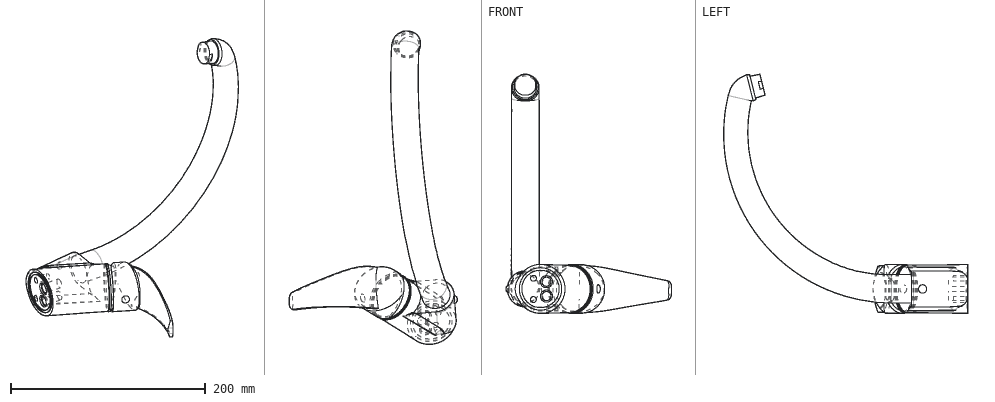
import cadquery as cq
import math


BASE_RADIUS = 25.2
BODY_TOP_RADIUS = 24.6
BODY_TILT = 26.6
BODY_TOP = (29.1, 61.6)
BODY_TOP_LIFT = 1.0

GROOVE_OUTER_RADIUS = 21.8
GROOVE_INNER_RADIUS = 19.2
GROOVE_DEPTH = 1.0
HOSE_X = 6.1
HOSE_Z = 7.4
HOSE_BORE_RADIUS = 4.7
HOSE_BORE_DEPTH = 20.0
HOSE_COUNTERBORE_RADIUS = 6.2
HOSE_COUNTERBORE_DEPTH = 2.0
STUD_X = -7.2
STUD_Z = 10.9
STUD_RADIUS = 3.0
STUD_DEPTH = 15.0

SOCKET_RADIUS = 18.6
SOCKET_TOP_Y = 58.2
SOCKET_RIM_HEIGHT = 2.5
SOCKET_BASE_X = -7.4
SOCKET_TOP_REACH = 36.0
SOCKET_BASE_REACH = 12.0

BLEND_SOCKET_EDGE = (-20.0, 18.65)
BLEND_BODY_EDGE = (-10.0, 22.5)
BLEND_CORE = (-12.0, 17.0)
BLEND_SAG = 0.5
BLEND_TOP_RISE = 12.0
BLEND_FULL_DROP = 57.5
BLEND_RUN_OUT_DROP = 70.0
BLEND_RUN_OUT_SCALE = 0.35
BLEND_LIP_START = (4.0, 58.2)
BLEND_LIP_TILT = 15.0

SCREW_Y = 46.8
SCREW_TIP_X = -35.7
SCREW_DOME_RADIUS = 4.5

SPOUT_X = -15.6
SPOUT_WIDTH_START = 14.6
SPOUT_WIDTH_END = 14.3
SPOUT_DEPTH_START = 14.6
SPOUT_DEPTH_ARC_END = 12.3
SPOUT_DEPTH_END = 14.0
SPOUT_ARC_START_Y = 78.6
SPOUT_ARC_RADIUS = 160.0
SPOUT_ARC_ANGLE = 103.0
ELBOW_RADIUS = 14.3
OUTLET_ANGLE = 166.0
ARC_SECTIONS = 9
ELBOW_SECTIONS = 4
NECK_LENGTH = 3.0
NECK_RADIUS = 13.2
OUTLET_LENGTH = 13.4
OUTLET_ROOT_RADIUS = 11.9
OUTLET_TIP_RADIUS = 11.2
OUTLET_FLAT_LENGTH = 3.5
OUTLET_FLAT_WIDTH = 7.0

RING_RADIUS = 24.9
RING_START = 1.6
RING_HEIGHT = 1.7
NECK_GROOVE_RADIUS = 24.0
COLLAR_BASE_RADIUS = 23.8
COLLAR_TOP_RADIUS = 20.6
COLLAR_HEIGHT = 9.0
HEAD_RADIUS = 25.2
HEAD_HEIGHT = 45.0
HEAD_FRONT_START = 5.6
HEAD_BACK_START = 13.9
DOME_RADIUS = 31.0
DOME_CENTRE = (37.6, 66.6)
HEAD_OUTLINE_MARGIN = 1.0
BUTTON_HEIGHT = 18.0
BUTTON_DOME_RADIUS = 6.0
BUTTON_PROUD = 1.5

HANDLE_SECTIONS = [
    (40.0, 97.5, 86.5, 84.5, 74.0, 23.8),
    (66.0, 96.5, 93.0, 91.3, 81.0, 22.2),
    (82.0, 94.0, 91.3, 89.8, 84.0, 19.2),
    (108.0, 86.5, 85.2, 83.4, 80.2, 14.2),
    (136.0, 75.3, 74.7, 72.3, 70.4, 8.7),
]
HANDLE_YAW = 1.0
HANDLE_TIP = (134.4, 75.2)
HANDLE_TIP_TILT = 36.0
HANDLE_TIP_HALF_WIDTH = 9.8
HANDLE_TIP_ROUND = 8.0
HANDLE_TRIM_LENGTH = 90.0
HANDLE_TRIM_HALF_WIDTH = 31.0


def between(start, end, fraction):
    return start + (end - start) * fraction


def level_plane(x, y):
    """Plane parallel to the mounting face, facing +Y."""
    return cq.Plane(origin=(x, y, 0), xDir=(1, 0, 0), normal=(0, 1, 0))


def slot(y, left_centre_x, reach):
    """Closed slot outline at height y, round on the -X side and square on the other."""
    r = SOCKET_RADIUS
    return (cq.Workplane(level_plane(left_centre_x, y)).moveTo(reach, -r).lineTo(0, -r)
            .threePointArc((-r, 0), (0, r)).lineTo(reach, r).close())


def axis_plane(height):
    """Plane across the tilted body axis; local x points to the lever front, measured from the top ring."""
    tilt = math.radians(BODY_TILT)
    origin = (BODY_TOP[0] + height * math.sin(tilt), BODY_TOP[1] + height * math.cos(tilt), 0)
    return cq.Plane(origin=origin, xDir=(math.cos(tilt), -math.sin(tilt), 0),
                    normal=(math.sin(tilt), math.cos(tilt), 0))


def disc(height, radius, length):
    return cq.Workplane(axis_plane(height)).circle(radius).extrude(length)


def blend_section(height, scale):
    """Hollow-faced filler section across the body axis, scaled about its buried corner."""
    (x1, z1), (x2, z2) = BLEND_SOCKET_EDGE, BLEND_BODY_EDGE
    chord = math.hypot(x2 - x1, z2 - z1)
    middle_x = (x1 + x2) / 2 + BLEND_SAG * (z2 - z1) / chord
    middle_z = (z1 + z2) / 2 - BLEND_SAG * (x2 - x1) / chord
    core_x, core_z = BLEND_CORE
    corner, start, middle, end = [
        (between(core_x, x, scale), -between(core_z, z, scale))
        for x, z in (BLEND_CORE, BLEND_SOCKET_EDGE, (middle_x, middle_z), BLEND_BODY_EDGE)
    ]
    return (cq.Workplane(axis_plane(height)).moveTo(*corner).lineTo(*start)
            .threePointArc(middle, end).close().wires().val())


def make_blend():
    """Filler strips on both sides of the body, trimmed above to a lip that climbs towards the body."""
    top = blend_section(BLEND_TOP_RISE, 1)
    full = blend_section(-BLEND_FULL_DROP, 1)
    buried = blend_section(-BLEND_RUN_OUT_DROP, BLEND_RUN_OUT_SCALE)
    strip = cq.Workplane(cq.Solid.makeLoft([full, top], True))
    run_out = cq.Workplane(cq.Solid.makeLoft([buried, full], True))
    tilt = math.radians(BLEND_LIP_TILT)
    lip_plane = cq.Plane(origin=(*BLEND_LIP_START, 0), xDir=(math.cos(tilt), math.sin(tilt), 0),
                         normal=(-math.sin(tilt), math.cos(tilt), 0))
    cut_size = 4 * BASE_RADIUS
    above_lip = cq.Workplane(lip_plane).rect(cut_size, cut_size).extrude(cut_size)
    filler = strip.cut(above_lip).union(run_out)
    return filler.union(filler.mirror("XY"))


def make_body():
    base = cq.Workplane(level_plane(0, 0)).circle(BASE_RADIUS).wires().val()
    top = cq.Workplane(axis_plane(BODY_TOP_LIFT)).circle(BODY_TOP_RADIUS).wires().val()
    column = cq.Workplane(cq.Solid.makeLoft([base, top], True))
    rim_y = SOCKET_TOP_Y - SOCKET_RIM_HEIGHT
    socket_base = slot(0, SOCKET_BASE_X, SOCKET_BASE_REACH).wires().val()
    socket_top = slot(rim_y, SPOUT_X, SOCKET_TOP_REACH).wires().val()
    socket = cq.Workplane(cq.Solid.makeLoft([socket_base, socket_top], True))
    rim = slot(rim_y, SPOUT_X, SOCKET_TOP_REACH).extrude(SOCKET_RIM_HEIGHT)
    return column.union(socket).union(rim).union(make_blend())


def make_screw():
    centre_x = SCREW_TIP_X + SCREW_DOME_RADIUS
    return cq.Workplane("XY", origin=(centre_x, SCREW_Y, 0)).sphere(SCREW_DOME_RADIUS)


def spout_point(angle):
    """Centre of the spout (y, z) where its heading has turned by angle degrees from +Y."""
    wide = math.radians(min(angle, SPOUT_ARC_ANGLE))
    y = SPOUT_ARC_START_Y + SPOUT_ARC_RADIUS * math.sin(wide)
    z = SPOUT_ARC_RADIUS * (1 - math.cos(wide))
    turn = math.radians(max(angle, SPOUT_ARC_ANGLE))
    start = math.radians(SPOUT_ARC_ANGLE)
    y += ELBOW_RADIUS * (math.sin(turn) - math.sin(start))
    z += ELBOW_RADIUS * (math.cos(start) - math.cos(turn))
    return y, z


def spout_plane(angle):
    y, z = spout_point(angle)
    heading = math.radians(angle)
    return cq.Plane(origin=(SPOUT_X, y, z), xDir=(1, 0, 0),
                    normal=(0, math.cos(heading), math.sin(heading)))


def spout_section(angle):
    arc_part = min(angle / SPOUT_ARC_ANGLE, 1)
    elbow_part = max(0, (angle - SPOUT_ARC_ANGLE) / (OUTLET_ANGLE - SPOUT_ARC_ANGLE))
    width = between(SPOUT_WIDTH_START, SPOUT_WIDTH_END, arc_part)
    depth = between(SPOUT_DEPTH_START, SPOUT_DEPTH_ARC_END, arc_part)
    depth += (SPOUT_DEPTH_END - SPOUT_DEPTH_ARC_END) * elbow_part
    return cq.Workplane(spout_plane(angle)).ellipse(width, depth).wires().val()


def make_outlet():
    """Slightly tapered nozzle with a spanner flat on each side of its mouth."""
    plane = spout_plane(OUTLET_ANGLE)
    outlet = (cq.Workplane(plane).circle(OUTLET_ROOT_RADIUS)
              .workplane(offset=OUTLET_LENGTH).circle(OUTLET_TIP_RADIUS).loft())
    flat_distance = math.sqrt(OUTLET_TIP_RADIUS ** 2 - (OUTLET_FLAT_WIDTH / 2) ** 2)
    cutter_size = OUTLET_ROOT_RADIUS
    flats = (cq.Workplane(plane).workplane(offset=OUTLET_LENGTH - OUTLET_FLAT_LENGTH)
             .pushPoints([(side * (flat_distance + cutter_size / 2), 0) for side in (-1, 1)])
             .rect(cutter_size, cutter_size).extrude(OUTLET_FLAT_LENGTH))
    return outlet.cut(flats)


def make_spout():
    arc_angles = [SPOUT_ARC_ANGLE * i / ARC_SECTIONS for i in range(ARC_SECTIONS + 1)]
    elbow_turn = OUTLET_ANGLE - SPOUT_ARC_ANGLE
    elbow_angles = [SPOUT_ARC_ANGLE + elbow_turn * i / ELBOW_SECTIONS for i in range(ELBOW_SECTIONS + 1)]
    arc = cq.Workplane(cq.Solid.makeLoft([spout_section(a) for a in arc_angles]))
    elbow = cq.Workplane(cq.Solid.makeLoft([spout_section(a) for a in elbow_angles]))
    straight_start = SOCKET_TOP_Y - SOCKET_RIM_HEIGHT
    straight = (cq.Workplane(spout_plane(0)).ellipse(SPOUT_WIDTH_START, SPOUT_DEPTH_START)
                .extrude(straight_start - SPOUT_ARC_START_Y))
    neck = (cq.Workplane(spout_plane(OUTLET_ANGLE)).ellipse(SPOUT_WIDTH_END, SPOUT_DEPTH_END)
            .workplane(offset=NECK_LENGTH).circle(NECK_RADIUS).loft())
    return straight.union(arc).union(elbow).union(neck).union(make_outlet())


def make_cartridge_collar():
    groove = disc(0, NECK_GROOVE_RADIUS, RING_START)
    ring = disc(RING_START, RING_RADIUS, RING_HEIGHT)
    collar_start = RING_START + RING_HEIGHT
    collar = (cq.Workplane(axis_plane(collar_start)).circle(COLLAR_BASE_RADIUS)
              .workplane(offset=COLLAR_HEIGHT).circle(COLLAR_TOP_RADIUS).loft())
    return groove.union(ring).union(collar)


def make_head():
    """Domed lever skirt, its lower rim level at the front and rising towards the back."""
    tilt_plane = axis_plane(0)
    side = cq.Plane(origin=tilt_plane.origin, xDir=tilt_plane.xDir, normal=(0, 0, 1))
    reach = HEAD_RADIUS + HEAD_OUTLINE_MARGIN
    outline = (cq.Workplane(side).moveTo(reach, HEAD_FRONT_START).lineTo(0, HEAD_FRONT_START)
               .lineTo(-HEAD_RADIUS, HEAD_BACK_START).lineTo(-reach, HEAD_HEIGHT)
               .lineTo(reach, HEAD_HEIGHT).close().extrude(reach, both=True))
    dome = cq.Workplane("XY", origin=(*DOME_CENTRE, 0)).sphere(DOME_RADIUS)
    return disc(0, HEAD_RADIUS, HEAD_HEIGHT).intersect(outline).intersect(dome)


def make_button():
    plane = axis_plane(BUTTON_HEIGHT)
    centre_distance = HEAD_RADIUS + BUTTON_PROUD - BUTTON_DOME_RADIUS
    return cq.Workplane(plane).center(centre_distance, 0).sphere(BUTTON_DOME_RADIUS)


def handle_section(x, crown, upper_edge, lower_edge, belly, half_width):
    plane = cq.Plane(origin=(x, 0, 0), xDir=(0, 1, 0), normal=(1, 0, 0))
    return (cq.Workplane(plane).moveTo(upper_edge, -half_width)
            .threePointArc((crown, 0), (upper_edge, half_width)).lineTo(lower_edge, half_width)
            .threePointArc((belly, 0), (lower_edge, -half_width)).close().wires().val())


def make_handle():
    blade = cq.Workplane(cq.Solid.makeLoft([handle_section(*s) for s in HANDLE_SECTIONS]))
    tilt = math.radians(HANDLE_TIP_TILT)
    trim_plane = cq.Plane(origin=(*HANDLE_TIP, 0), xDir=(math.cos(tilt), -math.sin(tilt), 0),
                          normal=(math.sin(tilt), math.cos(tilt), 0))
    trim = (cq.Workplane(trim_plane)
            .moveTo(-HANDLE_TRIM_LENGTH, -HANDLE_TRIM_HALF_WIDTH).lineTo(0, -HANDLE_TIP_HALF_WIDTH)
            .lineTo(0, HANDLE_TIP_HALF_WIDTH).lineTo(-HANDLE_TRIM_LENGTH, HANDLE_TRIM_HALF_WIDTH)
            .close().extrude(HANDLE_TRIM_LENGTH, both=True)
            .edges(cq.selectors.ParallelDirSelector(trim_plane.zDir))
            .edges(cq.selectors.DirectionMinMaxSelector(trim_plane.xDir, True))
            .fillet(HANDLE_TIP_ROUND))
    root_x = HANDLE_SECTIONS[0][0]
    return blade.intersect(trim).rotate((root_x, 0, 0), (root_x, 1, 0), HANDLE_YAW)


def cut_mounting_face(part):
    face = cq.Workplane("XZ")
    groove = face.circle(GROOVE_OUTER_RADIUS).circle(GROOVE_INNER_RADIUS).extrude(-GROOVE_DEPTH)
    part = part.cut(groove)
    for side in (-1, 1):
        hose = cq.Workplane("XZ").center(HOSE_X, side * HOSE_Z)
        part = part.cut(hose.circle(HOSE_BORE_RADIUS).extrude(-HOSE_BORE_DEPTH))
        part = part.cut(hose.circle(HOSE_COUNTERBORE_RADIUS).extrude(-HOSE_COUNTERBORE_DEPTH))
        stud = cq.Workplane("XZ").center(STUD_X, side * STUD_Z)
        part = part.cut(stud.circle(STUD_RADIUS).extrude(-STUD_DEPTH))
    return part


result = make_body()
for feature in (make_screw, make_spout, make_cartridge_collar, make_head, make_handle, make_button):
    result = result.union(feature())
result = cut_mounting_face(result)